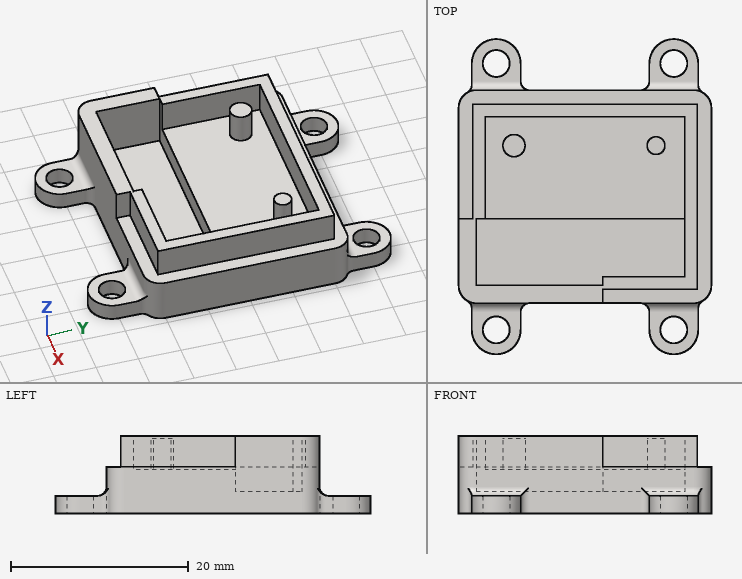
import cadquery as cq

body_length = 28.5
body_width = 24.0
body_height = 8.75
corner_radius = 2.0

lip_inset = 1.6
lip_thickness = 1.4
lip_height = 3.5
full_corner_wall = 2.0
full_corner_end_x = 2.0
full_corner_end_y = -2.5

floor_height = 2.5
platform_height = 5.0

pin_spacing = 16.0
pin_y = 5.75
pin_length = 3.5
left_pin_diameter = 2.5
right_pin_diameter = 2.0

ear_radius = 2.765
ear_height = 2.0
ear_hole_diameter = 3.0
ear_spacing_x = 20.0
ear_spacing_y = 30.0
ear_fillet = 1.0

tolerance = 0.01

half_length = body_length / 2
half_width = body_width / 2
shoulder_height = body_height - lip_height
cavity_inset = lip_inset + lip_thickness


def box_between(x_min, x_max, y_min, y_max, z_min, z_max):
    """Box spanning the given coordinate limits."""
    size = (x_max - x_min, y_max - y_min, z_max - z_min)
    return cq.Workplane("XY").box(*size, centered=False).translate((x_min, y_min, z_min))


def inset_box(inset, z_min, z_max):
    """Box whose sides lie a fixed distance inside the body sides."""
    half_x = half_length - inset
    half_y = half_width - inset
    return box_between(-half_x, half_x, -half_y, half_y, z_min, z_max)


def make_body():
    """Solid block with rounded vertical corners."""
    block = cq.Workplane("XY").box(body_length, body_width, body_height, centered=(True, True, False))
    return block.edges("|Z").fillet(corner_radius)


def add_ears(body):
    """Four round-tipped ears standing out from the two long side walls."""
    ear_x = ear_spacing_x / 2
    ear_y = ear_spacing_y / 2
    for end_x in (-ear_x, ear_x):
        for side in (-1, 1):
            root_y = side * (half_width - corner_radius)
            tip_y = side * ear_y
            y_min = min(root_y, tip_y)
            y_max = max(root_y, tip_y)
            arm = box_between(end_x - ear_radius, end_x + ear_radius, y_min, y_max, 0, ear_height)
            tip = cq.Workplane("XY").center(end_x, tip_y).circle(ear_radius).extrude(ear_height)
            body = body.union(arm).union(tip)
    return body


def fillet_ears(body):
    """Round the junctions between the ears and the body."""
    corner_line = half_width - corner_radius
    junctions = []
    for edge in body.edges().vals():
        box = edge.BoundingBox()
        outside_corner_line = box.ymin > corner_line or box.ymax < -corner_line
        on_body_wall = abs(edge.Center().y) < half_width + tolerance
        reaches_ear_top = abs(box.zmax - ear_height) < tolerance
        if outside_corner_line and on_body_wall and reaches_ear_top:
            junctions.append(edge)
    return body.newObject(junctions).fillet(ear_fillet)


def drill_ears(body):
    """Through holes concentric with the ear tips."""
    holes = cq.Workplane("XY").rect(ear_spacing_x, ear_spacing_y, forConstruction=True).vertices()
    return body.cut(holes.circle(ear_hole_diameter / 2).extrude(ear_height))


def full_corner_region(z_min, z_max, inset=0.0):
    """Quadrant of the rim that keeps the full wall height."""
    return box_between(
        -half_length + inset, full_corner_end_x, -half_width + inset, full_corner_end_y, z_min, z_max
    )


def cut_shoulder(body):
    """Lower the rim outside the lip, except around the full-height corner."""
    rim = box_between(-half_length, half_length, -half_width, half_width, shoulder_height, body_height)
    rim = rim.cut(inset_box(lip_inset, shoulder_height, body_height))
    rim = rim.cut(full_corner_region(shoulder_height, body_height))
    return body.cut(rim)


def cut_cavity(body):
    """Hollow the housing down to a raised platform and a deeper floor in front of it."""
    cavity = inset_box(cavity_inset, floor_height, body_height)
    cavity = cavity.union(full_corner_region(floor_height, body_height, full_corner_wall))
    platform = box_between(
        -half_length, half_length, full_corner_end_y, half_width, floor_height, platform_height
    )
    return body.cut(cavity.cut(platform))


def add_pins(body):
    """Two upright pins of different diameter standing on the platform."""
    for x, diameter in ((-pin_spacing / 2, left_pin_diameter), (pin_spacing / 2, right_pin_diameter)):
        base = cq.Workplane("XY").workplane(offset=platform_height).center(x, pin_y)
        body = body.union(base.circle(diameter / 2).extrude(pin_length))
    return body


result = make_body()
result = add_ears(result)
result = fillet_ears(result)
result = drill_ears(result)
result = cut_shoulder(result)
result = cut_cavity(result)
result = add_pins(result)